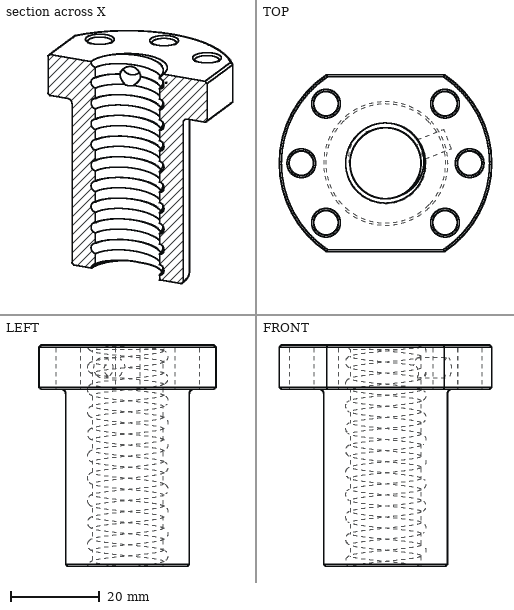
import cadquery as cq
import math

total_height = 50.0
flange_diameter = 48.0
flange_width = 40.0
flange_thickness = 10.0
body_diameter = 28.0
edge_chamfer = 0.5
neck_fillet = 1.0

bore_diameter = 16.0
bore_chamfer = 1.0
groove_pitch = 5.0
groove_radius = 1.25
groove_inset = 0.15
groove_top_angle = 93.0
turn_start_angle = 225.0

return_diameter = 4.7
return_angle = 21.5
return_depth_below_top = 5.1
return_end_radius = 15.0

mount_diameter = 5.5
mount_chamfer = 0.5
mount_circle_diameter = 38.0
mount_angles = (0, 45, 135, 180, 225, 315)

flange_bottom = total_height - flange_thickness


def make_flange():
    """Round flange with two flats across Y, chamfered around both faces."""
    disc = cq.Workplane("XY").workplane(offset=flange_bottom)
    disc = disc.circle(flange_diameter / 2).extrude(flange_thickness)
    flats = cq.Workplane("XY").box(flange_diameter, flange_width, total_height, centered=(True, True, False))
    return disc.intersect(flats).faces("<Z or >Z").chamfer(edge_chamfer)


def make_body():
    """Cylindrical barrel with a chamfered lower rim, filleted into the flange."""
    barrel = cq.Workplane("XY").circle(body_diameter / 2).extrude(total_height - flange_thickness / 2)
    barrel = barrel.faces("<Z").chamfer(edge_chamfer)
    joined = make_flange().union(barrel)

    rim = body_diameter / 2 + neck_fillet
    neck = cq.selectors.BoxSelector(
        (-rim, -rim, flange_bottom - edge_chamfer), (rim, rim, flange_bottom + edge_chamfer), boundingbox=True
    )
    return joined.edges(neck).fillet(neck_fillet)


def make_bore():
    """Through bore, opened by a chamfer at the top."""
    bore = cq.Workplane("XY").circle(bore_diameter / 2).extrude(total_height)
    cone = cq.Solid.makeCone(
        bore_diameter / 2,
        bore_diameter / 2 + bore_chamfer,
        bore_chamfer,
        pnt=cq.Vector(0, 0, total_height - bore_chamfer),
    )
    return bore.union(cq.Workplane(cone))


def cut_groove(part):
    """Cut a right-hand helical groove of round section, one turn at a time, running out of both ends."""
    center_radius = bore_diameter / 2 - groove_inset
    section = (
        cq.Workplane("XZ")
        .moveTo(center_radius, -groove_radius)
        .threePointArc((center_radius + groove_radius, 0), (center_radius, groove_radius))
        .close()
    )
    helix = cq.Wire.makeHelix(groove_pitch, groove_pitch, center_radius)
    turn = section.sweep(cq.Workplane(helix), isFrenet=True).rotate((0, 0, 0), (0, 0, 1), turn_start_angle)
    first_turn_z = total_height + groove_pitch * (turn_start_angle - groove_top_angle) / 360
    turn_count = math.ceil(total_height / groove_pitch) + 2
    for index in range(turn_count):
        part = part.cut(turn.translate((0, 0, first_turn_z - index * groove_pitch)))
    return part


def make_return_hole():
    """Blind radial hole from the bore axis into the flange."""
    hole = cq.Workplane("YZ").circle(return_diameter / 2).extrude(return_end_radius)
    hole = hole.translate((0, 0, total_height - return_depth_below_top))
    return hole.rotate((0, 0, 0), (0, 0, 1), return_angle)


def cut_mounting_holes(part):
    """Through holes on one circle, each chamfered at the top face."""
    radius = mount_circle_diameter / 2
    points = []
    for angle in mount_angles:
        direction = math.radians(angle)
        points.append((radius * math.cos(direction), radius * math.sin(direction)))
    top = cq.Workplane("XY").workplane(offset=total_height).pushPoints(points)
    drill = top.circle(mount_diameter / 2).extrude(-flange_thickness)
    rim = top.circle(mount_diameter / 2 + mount_chamfer).extrude(-mount_chamfer, taper=45)
    return part.cut(drill).cut(rim)


result = make_body().cut(make_bore())
result = cut_groove(result)
result = result.cut(make_return_hole())
result = cut_mounting_holes(result)